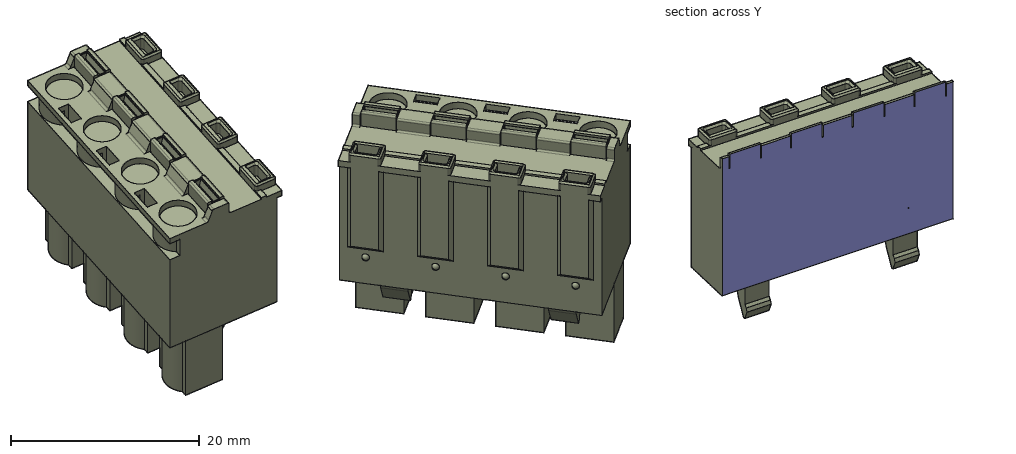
import cadquery as cq


POLE_COUNT = 4
PITCH = 7.62
LENGTH = 28.56
POLE_X = [(i - (POLE_COUNT - 1) / 2) * PITCH for i in range(POLE_COUNT)]
GAP_X = [x + PITCH / 2 for x in POLE_X[:-1]]

TOTAL_DEPTH = 14.0
TOTAL_HEIGHT = 26.11
BODY_BACK = 13.41
BODY_BOTTOM = 8.24
DECK = 24.30
LIP_THICKNESS = 0.77
LIP_BOTTOM = DECK - LIP_THICKNESS

NOTCH_DEPTH = 1.25
NOTCH_BOTTOM = 21.19
BARREL_RADIUS = 2.67
SCREW_Y = 2.80
SCREW_HOLE_DIAMETER = 4.0
SCREW_HOLE_DEPTH = 0.85

SLOT_WIDTH = 2.59
SLOT_FRONT = 0.52
SLOT_BACK = 1.76
SLOT_BOTTOM = 21.83

RIDGE_TOP = 25.84
RIDGE_BACK = 7.42
RIDGE_FRONT_TOP = 5.30
RIDGE_FRONT_FOOT = 4.85
RIDGE_FOOT_RUN = 0.30
RIDGE_FOOT_RISE = 0.25
RIDGE_ROUND = 0.20

LEVER_OPENING_WIDTH = 3.98
LEVER_WIDTH = 3.82
LEVER_FRONT = 5.27
LEVER_BACK = 7.37
LEVER_EDGE_RADIUS = 0.20
TROUGH_TOP_FRONT = 5.86
TROUGH_TOP_BACK = 6.83
TROUGH_FLOOR_FRONT = 6.00
TROUGH_FLOOR_BACK = 6.58
TROUGH_FLOOR = 25.0
TROUGH_SAG = 0.12
TROUGH_END_WALL = 0.12

SOCKET_WIDTH = 3.50
SOCKET_FRONT = 11.45
SOCKET_TOP = 25.40
SOCKET_CHAMFER = 0.20
SOCKET_CORNER = 0.25
POCKET_WIDTH = 2.85
POCKET_FRONT = 12.08
POCKET_BACK = 13.58
POCKET_BEVEL = 0.24
POCKET_CORNER = 0.30
POCKET_DEPTH = 1.8
BEAD_HEIGHT = 0.22

RIB_RADIUS = 2.2
RIB_AXIS_Y = 12.4
RIB_BOTTOM = 12.71
RIB_PROJECTION = TOTAL_DEPTH - BODY_BACK
BACK_NUB_Z = 11.70
BACK_NUB_RADIUS = 0.42
BACK_NUB_HEIGHT = 0.38
BOTTOM_NUB_Y = 11.53
BOTTOM_NUB_RADIUS = 0.37
BOTTOM_NUB_HEIGHT = 0.20

POST_WIDTH = 5.24
POST_FRONT = 2.12
POST_BACK = 6.74
POST_FOOT_RADIUS = 0.22

LATCH_WIDTH = 3.0
LATCH_INNER_X = LENGTH / 2 - 6.63
LATCH_ROOT_BACK = 10.71
LATCH_FRONT = 8.37
LATCH_FOOT_RADIUS = 0.35
LATCH_KNEE = (9.76, 5.26)
LATCH_TIP_BACK = (8.66, 3.28)
LATCH_TIP_FRONT = (8.42, 3.28)
LATCH_NOSE_BOTTOM = (7.93, 4.38)
LATCH_NOSE_TOP = (8.10, 4.82)
LATCH_CATCH_Z = 5.13


def block(x_center, width, y_min, y_max, z_min, z_max):
    """Box centred on x_center, given by its Y and Z limits."""
    box = cq.Workplane("XY").box(width, y_max - y_min, z_max - z_min, centered=(True, False, False))
    return box.translate((x_center, y_min, z_min))


def cylinder(x, y, radius, z_min, z_max):
    """Upright cylinder between two heights."""
    return cq.Workplane("XY", origin=(x, y, z_min)).circle(radius).extrude(z_max - z_min)


def yz_sketch(x_start):
    """Workplane at x_start whose local axes are Y and Z and which extrudes along +X."""
    return cq.Workplane("YZ", origin=(x_start, 0, 0))


def nub_sphere_radius(base_radius, height):
    """Radius of the sphere whose cap has the given base radius and height."""
    return (base_radius**2 + height**2) / (2 * height)


def make_housing():
    """Main block with the back lip and the notch under the front edge of the deck."""
    housing = block(0, LENGTH, 0, BODY_BACK, BODY_BOTTOM, DECK)
    housing = housing.union(block(0, LENGTH, BODY_BACK, TOTAL_DEPTH, LIP_BOTTOM, DECK))
    return housing.cut(block(0, LENGTH, 0, NOTCH_DEPTH, NOTCH_BOTTOM, LIP_BOTTOM))


def make_ridge():
    """Ridge along the deck with a sloped front, interrupted by the lever openings."""
    foot_radius = (RIDGE_FOOT_RUN**2 + RIDGE_FOOT_RISE**2) / (2 * RIDGE_FOOT_RISE)
    ridge = (
        yz_sketch(-LENGTH / 2)
        .moveTo(RIDGE_BACK + RIDGE_ROUND, DECK)
        .radiusArc((RIDGE_BACK, DECK + RIDGE_ROUND), RIDGE_ROUND)
        .lineTo(RIDGE_BACK, RIDGE_TOP - RIDGE_ROUND)
        .radiusArc((RIDGE_BACK - RIDGE_ROUND, RIDGE_TOP), -RIDGE_ROUND)
        .lineTo(RIDGE_FRONT_TOP + RIDGE_ROUND, RIDGE_TOP)
        .radiusArc((RIDGE_FRONT_TOP, RIDGE_TOP - RIDGE_ROUND), -RIDGE_ROUND)
        .lineTo(RIDGE_FRONT_FOOT, DECK + RIDGE_FOOT_RISE)
        .radiusArc((RIDGE_FRONT_FOOT - RIDGE_FOOT_RUN, DECK), foot_radius)
        .close()
        .extrude(LENGTH)
    )
    for x in POLE_X:
        ridge = ridge.cut(block(x, LEVER_OPENING_WIDTH, 0, TOTAL_DEPTH, DECK, TOTAL_HEIGHT))
    return ridge


def make_lever(x):
    """Release lever: a bar with rounded top edges and a round-bottomed trough."""
    trough_length = LEVER_WIDTH - 2 * TROUGH_END_WALL
    trough_middle = (TROUGH_FLOOR_FRONT + TROUGH_FLOOR_BACK) / 2
    trough = (
        yz_sketch(x - trough_length / 2)
        .moveTo(TROUGH_TOP_FRONT, TOTAL_HEIGHT)
        .lineTo(TROUGH_FLOOR_FRONT, TROUGH_FLOOR)
        .threePointArc((trough_middle, TROUGH_FLOOR - TROUGH_SAG), (TROUGH_FLOOR_BACK, TROUGH_FLOOR))
        .lineTo(TROUGH_TOP_BACK, TOTAL_HEIGHT)
        .close()
        .extrude(trough_length)
    )
    lever = block(x, LEVER_WIDTH, LEVER_FRONT, LEVER_BACK, DECK, TOTAL_HEIGHT)
    lever = lever.faces(">Z").edges("|X").fillet(LEVER_EDGE_RADIUS)
    lever = lever.cut(block(x, LEVER_WIDTH, TROUGH_TOP_FRONT, TROUGH_TOP_BACK, RIDGE_TOP, TOTAL_HEIGHT))
    return lever.cut(trough)


def make_socket(x):
    """Marker socket with rounded corners and a chamfered rim, standing on the back of the deck."""
    socket = block(x, SOCKET_WIDTH, SOCKET_FRONT, TOTAL_DEPTH, DECK, SOCKET_TOP)
    socket = socket.edges("|Z").fillet(SOCKET_CORNER)
    return socket.faces(">Z").edges().chamfer(SOCKET_CHAMFER)


def pocket_outline(plane, inset):
    """Pocket outline with a square front and rounded back corners, drawn in at sides and back."""
    half = POCKET_WIDTH / 2 - inset
    back = POCKET_BACK - inset
    return (
        plane.moveTo(-half, POCKET_FRONT)
        .lineTo(half, POCKET_FRONT)
        .lineTo(half, back - POCKET_CORNER)
        .radiusArc((half - POCKET_CORNER, back), -POCKET_CORNER)
        .lineTo(-half + POCKET_CORNER, back)
        .radiusArc((-half, back - POCKET_CORNER), -POCKET_CORNER)
        .close()
    )


def make_socket_pocket(x):
    """Straight-walled pocket sunk into a marker socket, bevelled at the sides and back of its mouth."""
    shaft_plane = cq.Workplane("XY", origin=(x, 0, SOCKET_TOP - POCKET_DEPTH))
    shaft = pocket_outline(shaft_plane, POCKET_BEVEL).extrude(POCKET_DEPTH)
    bevel_plane = cq.Workplane("XY", origin=(x, 0, SOCKET_TOP - POCKET_BEVEL))
    bevel_bottom = pocket_outline(bevel_plane, POCKET_BEVEL)
    bevel = pocket_outline(bevel_bottom.workplane(offset=POCKET_BEVEL), 0).loft(ruled=True)
    return shaft.union(bevel)


def make_back_rib(x):
    """Rib on the back face with round flanks, a flat crest and a bevelled lower end."""
    profile = [
        (RIB_AXIS_Y, RIB_BOTTOM),
        (BODY_BACK, RIB_BOTTOM),
        (TOTAL_DEPTH, RIB_BOTTOM + RIB_PROJECTION),
        (TOTAL_DEPTH, LIP_BOTTOM),
        (RIB_AXIS_Y, LIP_BOTTOM),
    ]
    envelope = yz_sketch(x - RIB_RADIUS).polyline(profile).close().extrude(2 * RIB_RADIUS)
    return cylinder(x, RIB_AXIS_Y, RIB_RADIUS, RIB_BOTTOM, LIP_BOTTOM).intersect(envelope)


def make_nubs(x):
    """Small domed nubs on the back face and on the underside."""
    back_radius = nub_sphere_radius(BACK_NUB_RADIUS, BACK_NUB_HEIGHT)
    back_y = BODY_BACK + BACK_NUB_HEIGHT - back_radius
    bottom_radius = nub_sphere_radius(BOTTOM_NUB_RADIUS, BOTTOM_NUB_HEIGHT)
    bottom_z = BODY_BOTTOM - BOTTOM_NUB_HEIGHT + bottom_radius
    back_nub = cq.Workplane("XY").sphere(back_radius).translate((x, back_y, BACK_NUB_Z))
    bottom_nub = cq.Workplane("XY").sphere(bottom_radius).translate((x, BOTTOM_NUB_Y, bottom_z))
    return back_nub.union(bottom_nub)


def make_post(x):
    """Plug post: a square back with a filleted root and a round front."""
    square = (
        yz_sketch(x - POST_WIDTH / 2)
        .moveTo(POST_FRONT, 0)
        .lineTo(POST_BACK, 0)
        .lineTo(POST_BACK, BODY_BOTTOM - POST_FOOT_RADIUS)
        .radiusArc((POST_BACK + POST_FOOT_RADIUS, BODY_BOTTOM), POST_FOOT_RADIUS)
        .lineTo(POST_FRONT, BODY_BOTTOM)
        .close()
        .extrude(POST_WIDTH)
    )
    nose = cylinder(x, NOTCH_DEPTH + BARREL_RADIUS, BARREL_RADIUS, 0, BODY_BOTTOM)
    return square.union(nose.intersect(block(x, POST_WIDTH, 0, POST_BACK, 0, BODY_BOTTOM)))


def make_latch(x_start):
    """Latch hook hanging from the underside with its nose towards the front."""
    return (
        yz_sketch(x_start)
        .moveTo(LATCH_ROOT_BACK, BODY_BOTTOM)
        .lineTo(*LATCH_KNEE)
        .lineTo(*LATCH_TIP_BACK)
        .lineTo(*LATCH_TIP_FRONT)
        .lineTo(*LATCH_NOSE_BOTTOM)
        .lineTo(*LATCH_NOSE_TOP)
        .lineTo(LATCH_FRONT, LATCH_CATCH_Z)
        .lineTo(LATCH_FRONT, BODY_BOTTOM - LATCH_FOOT_RADIUS)
        .radiusArc((LATCH_FRONT - LATCH_FOOT_RADIUS, BODY_BOTTOM), -LATCH_FOOT_RADIUS)
        .close()
        .extrude(LATCH_WIDTH)
    )


result = make_housing().union(make_ridge())
result = result.union(block(0, LENGTH, SOCKET_FRONT, POCKET_FRONT, DECK, DECK + BEAD_HEIGHT))
for pole in POLE_X:
    result = result.union(cylinder(pole, SCREW_Y, BARREL_RADIUS, NOTCH_BOTTOM, LIP_BOTTOM))
    result = result.union(make_lever(pole))
    result = result.union(make_socket(pole))
    result = result.union(make_back_rib(pole))
    result = result.union(make_nubs(pole))
    result = result.union(make_post(pole))
for latch_start in (-LATCH_INNER_X - LATCH_WIDTH, LATCH_INNER_X):
    result = result.union(make_latch(latch_start))

for pole in POLE_X:
    result = result.cut(cylinder(pole, SCREW_Y, SCREW_HOLE_DIAMETER / 2, DECK - SCREW_HOLE_DEPTH, DECK))
    result = result.cut(make_socket_pocket(pole))
for gap in GAP_X:
    result = result.cut(block(gap, SLOT_WIDTH, SLOT_FRONT, SLOT_BACK, SLOT_BOTTOM, DECK))